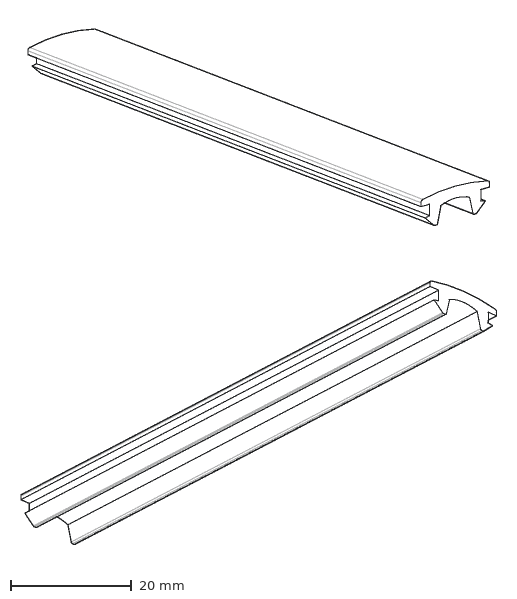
import cadquery as cq

length = 100.0
width = 15.0
height = 5.9

plate_underside = 4.0
plate_edge_top = 5.1
plate_edge_radius = 0.5

leg_outer = 5.6
leg_inner_top = 3.1
leg_inner_bottom = 3.9
leg_tip_outer = 4.6
leg_tip_radius = 0.3

barb_reach = 6.6
barb_tip_height = 1.8
barb_root_height = 2.0

channel_side_height = 3.2
channel_crown_height = 3.8

half_width = width / 2

half_outline = [
    (half_width, plate_edge_top),
    (half_width, plate_underside),
    (leg_outer, plate_underside),
    (leg_outer, barb_root_height),
    (barb_reach, barb_tip_height),
    (leg_tip_outer, 0),
    (leg_inner_bottom, 0),
    (leg_inner_top, channel_side_height),
]
mirrored_outline = [(-y, z) for y, z in reversed(half_outline)]

strip = (
    cq.Workplane("YZ")
    .workplane(offset=-length / 2)
    .polyline(half_outline)
    .threePointArc((0, channel_crown_height), mirrored_outline[0])
    .polyline(mirrored_outline, includeCurrent=False)
    .threePointArc((0, height), half_outline[0])
    .close()
    .extrude(length)
)


def edges_along_strip(y, z):
    """Select the pair of mirrored lengthwise edges at +/-y and height z."""
    margin = 0.05
    selectors = [
        cq.selectors.BoxSelector(
            (-length, side * y - margin, z - margin),
            (length, side * y + margin, z + margin),
        )
        for side in (-1, 1)
    ]
    return selectors[0] + selectors[1]


strip = strip.edges(edges_along_strip(half_width, plate_edge_top)).fillet(plate_edge_radius)
for tip_edge in (leg_tip_outer, leg_inner_bottom):
    strip = strip.edges(edges_along_strip(tip_edge, 0)).fillet(leg_tip_radius)

result = strip